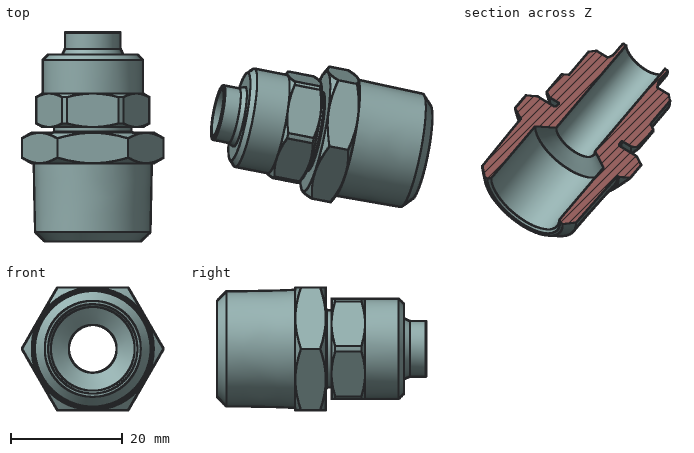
import cadquery as cq
import math


thread_chamfer_length = 1.7
thread_end = 14.0
body_hex_end = 19.5
relief_end = 19.7
nut_start = 20.5
nut_hex_end = 26.5
nut_end = 33.5
tube_flare_length = 1.0
fitting_length = 37.5

thread_face_radius = 8.6
thread_tip_radius = 10.35
thread_root_radius = 10.6
relief_radius = 7.2
neck_radius = 6.95
nut_radius = 9.0
nut_end_chamfer = 1.0
tube_radius = 5.0
tube_flare_radius = 5.45
tube_tip_chamfer = 0.15

body_across_flats = 22.0
body_chamfer_radius = 10.93
sharp_corner_clearance = 0.1
nut_across_flats = 2 * nut_radius
nut_corner_radius = 10.12
hex_chamfer_angle = 30.0

bore_radius = 7.5
bore_mouth_chamfer = 0.5
bore_depth = thread_end
bore_floor_angle = 118.0
passage_radius = 4.25


def turned(points):
    """Solid of revolution about Y from (radius, Y) outline points."""
    return (
        cq.Workplane("XY")
        .polyline(points)
        .close()
        .revolve(360, (0, 0, 0), (0, 1, 0))
    )


def across_corners(across_flats):
    return across_flats / math.cos(math.radians(30))


def chamfered_hex(across_flats, start, end, chamfer_radius, corner_radius):
    """Hexagonal prism along Y, corners turned to a radius and chamfered at both ends."""
    prism = (
        cq.Workplane("XZ", origin=(0, start, 0))
        .polygon(6, across_corners(across_flats))
        .extrude(start - end)
    )
    chamfer = (corner_radius - chamfer_radius) * math.tan(math.radians(hex_chamfer_angle))
    envelope = turned([
        (0, start),
        (chamfer_radius, start),
        (corner_radius, start + chamfer),
        (corner_radius, end - chamfer),
        (chamfer_radius, end),
        (0, end),
    ])
    return prism.intersect(envelope)


def turned_body():
    """Thread, neck, round part of the nut and tube end, without the bore."""
    return turned([
        (0, 0),
        (thread_face_radius, 0),
        (thread_tip_radius, thread_chamfer_length),
        (thread_root_radius, thread_end),
        (relief_radius, body_hex_end),
        (neck_radius, relief_end),
        (neck_radius, nut_start),
        (nut_radius, nut_hex_end),
        (nut_radius, nut_end - nut_end_chamfer),
        (nut_radius - nut_end_chamfer, nut_end),
        (tube_flare_radius, nut_end),
        (tube_radius, nut_end + tube_flare_length),
        (tube_radius, fitting_length - tube_tip_chamfer),
        (tube_radius - tube_tip_chamfer, fitting_length),
        (0, fitting_length),
    ])


def bore():
    """Chamfered blind bore with a drill-point floor opening into the through passage."""
    floor_cone_length = (bore_radius - passage_radius) / math.tan(math.radians(bore_floor_angle / 2))
    return turned([
        (0, 0),
        (bore_radius + bore_mouth_chamfer, 0),
        (bore_radius, bore_mouth_chamfer),
        (bore_radius, bore_depth),
        (passage_radius, bore_depth + floor_cone_length),
        (passage_radius, fitting_length),
        (0, fitting_length),
    ])


body_corner_radius = across_corners(body_across_flats) / 2 + sharp_corner_clearance

body_hex = chamfered_hex(
    body_across_flats, thread_end, body_hex_end, body_chamfer_radius, body_corner_radius
)
nut_hex = chamfered_hex(
    nut_across_flats, nut_start, nut_hex_end, nut_radius, nut_corner_radius
)

result = turned_body().union(body_hex).union(nut_hex).cut(bore())